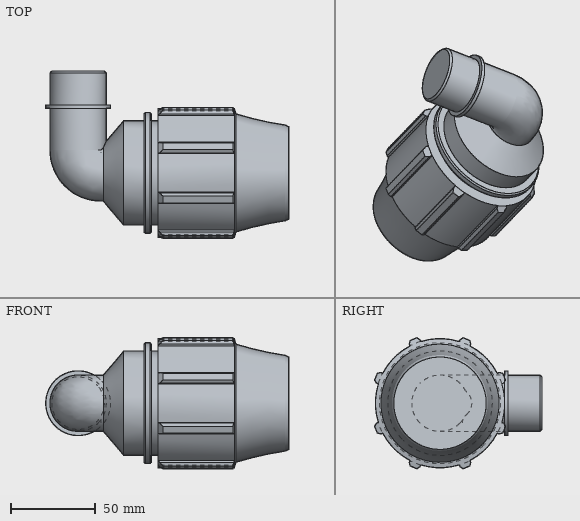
import cadquery as cq
import math

neck_radius = 16.6
neck_start_x = 32.5
cone_start_x = 33.9
cone_end_x = 46.0
shoulder_radius = 30.8

flange_radius = 71.3 / 2
flange_start_x = 57.8
flange_width = 4.5
flange_chamfer = 0.9

nut_radius = 38.0
nut_start_x = 66.1
nut_end_x = 111.0
bevel_end_x = 112.0
taper_start_radius = 34.8
taper_end_radius = 28.2
taper_hollow = 0.6
tail_end_x = 143.1
tail_chamfer_length = 2.0
tail_chamfer_depth = 1.0

rib_count = 8
rib_spacing = 360 / rib_count
rib_base_width = 6.9
rib_flank_height = 39.1
rib_top_width = 4.3
rib_front_slope = 2.9
rib_rear_slope = 0.9
half_size = 77.1 / 2
half_spacing = math.radians(rib_spacing / 2)
rib_top_height = (half_size - rib_top_width / 2 * math.sin(half_spacing)) / math.cos(half_spacing)
rib_root_depth = 1.5
rib_root_height = nut_radius - rib_root_depth

pipe_radius = 33.2 / 2
collar_radius = 38.2 / 2
pipe_x = collar_radius
pipe_end_y = 98.6 - half_size
pipe_chamfer = 1.1
collar_top_y = 40.1
collar_width = 2.0
bend_radius = neck_start_x - pipe_x


def x_cylinder(start, length, radius):
    return cq.Workplane("YZ", origin=(start, 0, 0)).circle(radius).extrude(length)


def y_cylinder(start, length, radius):
    plane = cq.Plane(origin=(pipe_x, start, 0), xDir=(1, 0, 0), normal=(0, 1, 0))
    return cq.Workplane(plane).circle(radius).extrude(length)


def make_body():
    """Neck, cone, shoulder, nut and hollow taper as one turned shape."""
    taper_end_x = tail_end_x - tail_chamfer_length
    taper_middle = (
        (bevel_end_x + taper_end_x) / 2,
        (taper_start_radius + taper_end_radius) / 2 - taper_hollow,
    )
    profile = (
        cq.Workplane("XY")
        .moveTo(neck_start_x, 0)
        .lineTo(neck_start_x, neck_radius)
        .lineTo(cone_start_x, neck_radius)
        .lineTo(cone_end_x, shoulder_radius)
        .lineTo(nut_start_x, shoulder_radius)
        .lineTo(nut_start_x, nut_radius)
        .lineTo(nut_end_x, nut_radius)
        .lineTo(bevel_end_x, taper_start_radius)
        .threePointArc(taper_middle, (taper_end_x, taper_end_radius))
        .lineTo(tail_end_x, taper_end_radius - tail_chamfer_depth)
        .lineTo(tail_end_x, 0)
        .close()
    )
    return profile.revolve(360, (0, 0, 0), (1, 0, 0))


def make_rib():
    """One rib on the +Z side with upright flanks, a bevelled top and ends sloping up to its top."""
    half_base = rib_base_width / 2
    half_top = rib_top_width / 2
    section = (
        cq.Workplane("YZ", origin=(nut_start_x, 0, 0))
        .polyline([
            (-half_base, rib_root_height),
            (-half_base, rib_flank_height),
            (-half_top, rib_top_height),
            (half_top, rib_top_height),
            (half_base, rib_flank_height),
            (half_base, rib_root_height),
        ])
        .close()
        .extrude(nut_end_x - nut_start_x)
    )
    side = (
        cq.Workplane("XZ")
        .polyline([
            (nut_start_x, rib_root_height),
            (nut_start_x, nut_radius),
            (nut_start_x + rib_front_slope, rib_top_height),
            (nut_end_x - rib_rear_slope, rib_top_height),
            (nut_end_x, nut_radius),
            (nut_end_x, rib_root_height),
        ])
        .close()
        .extrude(rib_base_width, both=True)
    )
    return section.intersect(side)


def make_elbow():
    """Quarter bend tighter than the pipe, so its section stops at the bend axis."""
    sector = math.acos(bend_radius / pipe_radius)
    chord_half = pipe_radius * math.sin(sector)
    section = (
        cq.Workplane("XZ", origin=(pipe_x, bend_radius, 0))
        .moveTo(bend_radius, chord_half)
        .threePointArc((-pipe_radius, 0), (bend_radius, -chord_half))
        .close()
    )
    return section.revolve(90, (bend_radius, 0, 0), (bend_radius, 1, 0))


def make_pipe():
    pipe = y_cylinder(bend_radius, pipe_end_y - bend_radius, pipe_radius)
    pipe = pipe.faces(">Y").chamfer(pipe_chamfer)
    collar = y_cylinder(collar_top_y - collar_width, collar_width, collar_radius)
    return pipe.union(collar)


flange = x_cylinder(flange_start_x, flange_width, flange_radius).edges().chamfer(flange_chamfer)
result = make_body().union(flange).union(make_elbow()).union(make_pipe())

rib = make_rib()
for index in range(rib_count):
    angle = (index + 0.5) * rib_spacing
    result = result.union(rib.rotate((0, 0, 0), (1, 0, 0), angle))